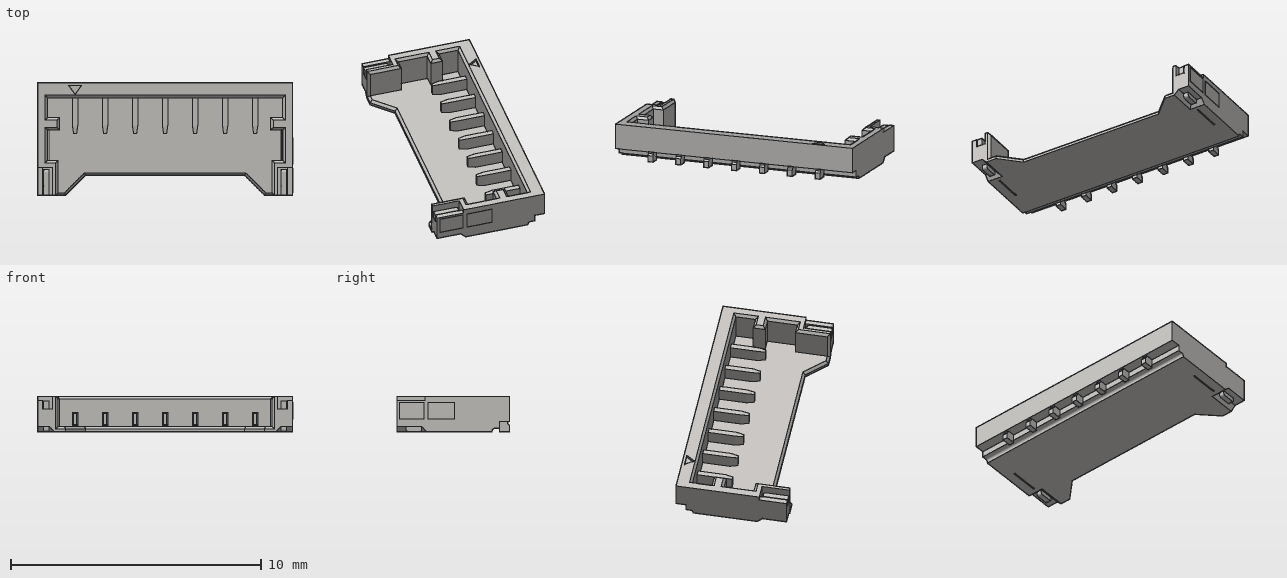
import cadquery as cq

housing_width = 10.2
depth = 4.5
height = 1.42
floor_top = 0.21
edge_chamfer = 0.1

rear_wall = 0.6
side_wall = 0.4
rib_reach = 0.88
rib_front = 2.61
rib_rear = 3.1
corner_block_width = 0.83
corner_block_depth = 1.4

front_lug_width = 1.12
floor_setback = 0.8

pocket_outer = 0.2
pocket_inner = 0.6
pocket_depth = 1.11
pocket_floor = 0.92
lowered_wall_top = 1.26

slot_width = 0.05

foot_relief_width = 0.47
foot_relief_depth = 0.99
foot_relief_height = 0.2
slope_angle = 45.0
rear_step_depth = 0.41
rear_step_height = 0.41
rear_groove_depth = 0.29
rear_groove_height = 0.13
rear_groove_radius = 0.1

pin_count = 7
pin_span = 7.2
pin_width = 0.21
pin_bottom = 0.25
pin_top = 0.77
pin_end = 2.48
pin_tip_length = 0.31
pin_tip_width = 0.12
pin_tip_bottom = 0.3
pin_tip_top = 0.74
pin_tail_thickness = 0.26
pin_tail_setback = 0.07

mark_width = 0.51
mark_rear = 4.39
mark_front = 4.03
mark_recess = 0.1

pad_thickness = 0.01
pad_bottom = 0.5
pad_top = 1.17
pad_spans = [(0.11, 1.08), (1.25, 2.3)]

tab_outer = 0.25
tab_inner = 0.46
tab_top = 1.24
tab_upper_rear = 1.03
tab_foot_front = 0.37
tab_foot_rear = 0.99
tab_bend_radius = 0.12
tab_foot_radius = 0.09

half_width = housing_width / 2
pin_pitch = pin_span / (pin_count - 1)
pin_positions = [-pin_span / 2 + i * pin_pitch for i in range(pin_count)]
cavity_rear = depth - rear_wall


def box(x_range, y_range, z_range):
    """Box between two limits along each axis."""
    return (
        cq.Workplane("XY")
        .box(x_range[1] - x_range[0], y_range[1] - y_range[0], z_range[1] - z_range[0], centered=False)
        .translate((x_range[0], y_range[0], z_range[0]))
    )


def mirrored(points):
    """Closed outline from its left half, listed from the middle of one end to that of the other."""
    return points + [(-x, y) for x, y in reversed(points)]


def on_side(shape, side):
    """A shape modelled at the left end, left there for side -1 or mirrored to the right for side 1."""
    return shape if side < 0 else shape.mirror("YZ")


def edges_centred_in(x_range, y_range, z_range):
    """Selector for the edges whose centres lie between two limits along each axis."""
    low, high = zip(x_range, y_range, z_range)
    return cq.selectors.BoxSelector(low, high)


def side_profile(width):
    """Workplane for a (Y, Z) outline that is extruded along +X, centred on X = 0."""
    return cq.Workplane("YZ", origin=(-width / 2, 0, 0))


def housing_shell():
    """Tray with ribs, corner blocks, a cut-back floor and a chamfer around its opening."""
    lug_x = front_lug_width - half_width
    base_outline = mirrored([
        (-half_width, depth),
        (-half_width, 0),
        (lug_x, 0),
        (lug_x + floor_setback, floor_setback),
    ])
    floor = cq.Workplane("XY").polyline(base_outline).close().extrude(floor_top)

    wall_x = side_wall - half_width
    rib_x = rib_reach - half_width
    block_x = corner_block_width - half_width
    cavity_outline = mirrored([
        (wall_x, cavity_rear),
        (wall_x, rib_rear),
        (rib_x, rib_rear),
        (rib_x, rib_front),
        (wall_x, rib_front),
        (wall_x, corner_block_depth),
        (block_x, corner_block_depth),
        (block_x, 0),
    ])
    cavity = cq.Workplane("XY").polyline(cavity_outline).close().extrude(height)
    walls = box((-half_width, half_width), (0, depth), (0, height)).cut(cavity)
    shell = floor.union(walls)

    margin = edge_chamfer / 2
    rim_x = half_width - margin
    mouth_x = margin - block_x
    floor_x = -block_x - margin
    below_floor_top = floor_top - margin
    rim = edges_centred_in((-rim_x, rim_x), (margin, depth - margin), (height - margin, height + margin))
    mouth = edges_centred_in((-mouth_x, mouth_x), (-margin, margin), (below_floor_top, height - margin))
    cut_back = edges_centred_in(
        (-floor_x, floor_x), (margin, floor_setback + margin), (below_floor_top, floor_top + margin)
    )
    return shell.edges(rim + mouth + cut_back).chamfer(edge_chamfer)


def corner_cuts():
    """Left pocket, lowered wall, floor slot and foot relief, as one cutting shape."""
    pocket = box((pocket_outer, pocket_inner), (0, pocket_depth), (pocket_floor, height))
    lowered_wall = box((0, pocket_outer), (0, pocket_depth), (lowered_wall_top, height))
    slot = box((side_wall, side_wall + slot_width), (corner_block_depth, rib_front), (0, floor_top))
    foot_relief = (
        cq.Workplane("XY")
        .rect(2 * (foot_relief_width + foot_relief_height), 2 * (foot_relief_depth + foot_relief_height))
        .extrude(foot_relief_height, taper=slope_angle)
    )
    cuts = pocket.union(lowered_wall).union(slot).union(foot_relief)
    return cuts.translate((-half_width, 0, 0))


def rear_relief():
    """Step under the rear wall, continued forward by a shallow groove with a rounded end."""
    step_front = depth - rear_step_depth
    groove_front = step_front - rear_groove_depth
    return (
        side_profile(housing_width)
        .moveTo(depth, 0)
        .lineTo(depth, rear_step_height)
        .lineTo(step_front, rear_step_height)
        .lineTo(step_front, rear_groove_height)
        .lineTo(groove_front + rear_groove_radius, rear_groove_height)
        .radiusArc((groove_front, rear_groove_height - rear_groove_radius), -rear_groove_radius)
        .lineTo(groove_front, 0)
        .close()
        .extrude(housing_width)
    )


def pin_mark():
    """Triangular recess beside the first pin."""
    return (
        cq.Workplane("XY", origin=(pin_positions[0], 0, height - mark_recess))
        .polyline([(-mark_width / 2, mark_rear), (mark_width / 2, mark_rear), (0, mark_front)])
        .close()
        .extrude(mark_recess)
    )


def pin_blade():
    """Blade with a tapered tip that stands out from the rear wall of the cavity."""
    tip_start = pin_end + pin_tip_length
    blade = box((-pin_width / 2, pin_width / 2), (tip_start, cavity_rear), (pin_bottom, pin_top))
    blade_middle = (pin_bottom + pin_top) / 2
    tip_middle = (pin_tip_bottom + pin_tip_top) / 2
    tip = (
        cq.Workplane("XZ", origin=(0, tip_start, blade_middle))
        .rect(pin_width, pin_top - pin_bottom)
        .workplane(offset=pin_tip_length)
        .center(0, tip_middle - blade_middle)
        .rect(pin_tip_width, pin_tip_top - pin_tip_bottom)
        .loft()
    )
    return blade.union(tip)


def pin_tail():
    """Soldering tail that fills the step under the rear wall."""
    tail_front = depth - rear_step_depth
    return (
        side_profile(pin_width)
        .polyline([
            (tail_front, 0),
            (depth, 0),
            (depth, pin_tail_thickness),
            (depth - pin_tail_setback, pin_tail_thickness + pin_tail_setback),
            (depth - pin_tail_setback, rear_step_height),
            (tail_front, rear_step_height),
        ])
        .close()
        .extrude(pin_width)
    )


def left_solder_tab():
    """Left solder tab: a strip lying in the pocket, with a leg down to a rounded foot."""
    strip = box((tab_outer, tab_inner), (0, tab_upper_rear), (pocket_floor, tab_top))
    strip = strip.edges(">Y and >Z").fillet(tab_bend_radius)
    leg = box((tab_outer, tab_inner), (tab_foot_front, tab_foot_rear), (0, pocket_floor))
    leg = leg.edges("<Z and |X").fillet(tab_foot_radius)
    return strip.union(leg).translate((-half_width, 0, 0))


def finished_housing(tabs):
    """Housing with its cuts, recesses that match the solder tabs, pins and raised pads."""
    housing = housing_shell().cut(rear_relief()).cut(pin_mark())
    for side in (-1, 1):
        housing = housing.cut(on_side(corner_cuts(), side))
    for tab in tabs:
        housing = housing.cut(tab)
    for x in pin_positions:
        housing = housing.union(pin_blade().translate((x, 0, 0)))
        housing = housing.union(pin_tail().translate((x, 0, 0)))
    for pad_front, pad_rear in pad_spans:
        pad = box((half_width, half_width + pad_thickness), (pad_front, pad_rear), (pad_bottom, pad_top))
        housing = housing.union(pad)
    return housing


solder_tabs = [on_side(left_solder_tab(), side) for side in (-1, 1)]
housing = finished_housing(solder_tabs)

result = cq.Compound.makeCompound([housing.val(), *[tab.val() for tab in solder_tabs]])